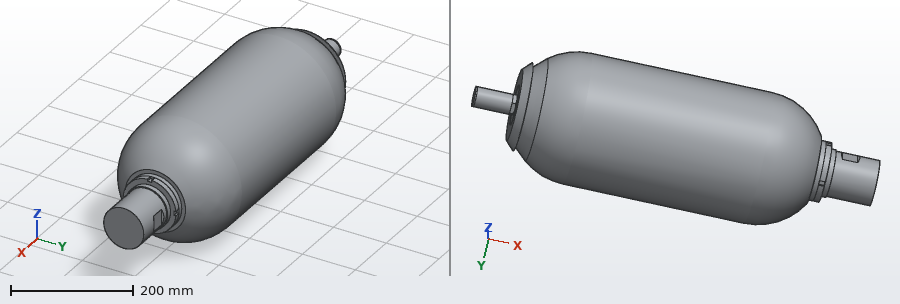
import cadquery as cq
import math

TOTAL_LENGTH = 672.75

END_DISC_BACK = 2.4
STEM_END = 62.0
CAP_FRONT = 68.0
CAP_BACK = 82.0
CONE_END = 94.0
TANK_FRONT = 104.5
CYLINDER_START = 173.0
CYLINDER_END = 477.0
WASHER_START = 570.5
NUT_START = 579.5
NUT_END = 589.5
COLLAR_END = 599.0

STEM_DIA = 33.7
STEM_BORE_DIA = 26.0
HEX_SIDES = 6
HEX_ACROSS_FLATS = 32.0
HEX_CHAMFER_ANGLE = 30.0

CAP_FRONT_RADIUS = 60.0
CAP_BACK_RADIUS = CAP_FRONT_RADIUS + (CAP_BACK - CAP_FRONT)
CAP_RECESS_DIA = 67.0
CAP_RECESS_DEPTH = 1.0

CONE_FRONT_RADIUS = 65.0

TANK_DIA = 219.1
TANK_RADIUS = TANK_DIA / 2

RING_DIA = 100.0
COLLAR_DIA = 80.0
PORT_DIA = 76.0
NUT_SLOT_COUNT = 4
NUT_SLOT_WIDTH = 8.0
NUT_SLOT_DEPTH = 4.0
PORT_ACROSS_FLATS = 70.0
FLAT_START = 611.0
FLAT_LENGTH = 25.0


def disc(start, end, diameter):
    """Cylinder about the X axis between two stations."""
    return cq.Workplane("YZ", origin=(start, 0, 0)).circle(diameter / 2).extrude(end - start)


def cone(start, end, start_radius, end_radius):
    """Truncated cone about the X axis between two stations."""
    profile = [(start, 0), (start, start_radius), (end, end_radius), (end, 0)]
    return cq.Workplane("XY").polyline(profile).close().revolve(360, (0, 0, 0), (1, 0, 0))


def make_end_disc():
    return disc(0, END_DISC_BACK, STEM_DIA)


def make_stem():
    """Tube open at both ends, between the end disc and the hexagon nut."""
    return disc(END_DISC_BACK, STEM_END, STEM_DIA).cut(disc(END_DISC_BACK, STEM_END, STEM_BORE_DIA))


def make_hex_nut():
    """Hexagon with corners on +-Y, its corners chamfered on the cap side."""
    back = CAP_FRONT + CAP_RECESS_DEPTH
    across_corners = HEX_ACROSS_FLATS / math.cos(math.pi / HEX_SIDES)
    nut_plane = cq.Workplane("YZ", origin=(STEM_END, 0, 0))
    nut = nut_plane.polygon(HEX_SIDES, across_corners).extrude(back - STEM_END)
    back_radius = HEX_ACROSS_FLATS / 2
    front_radius = back_radius + (back - STEM_END) / math.tan(math.radians(HEX_CHAMFER_ANGLE))
    return nut.intersect(cone(STEM_END, back, front_radius, back_radius))


def make_cap():
    cap = cone(CAP_FRONT, CAP_BACK, CAP_FRONT_RADIUS, CAP_BACK_RADIUS)
    return cap.cut(disc(CAP_FRONT, CAP_FRONT + CAP_RECESS_DEPTH, CAP_RECESS_DIA))


def sphere_point(centre_x, x):
    """Profile point of a tank end sphere centred on the axis at centre_x."""
    return (x, math.sqrt(TANK_RADIUS**2 - (x - centre_x) ** 2))


def make_cone_ring():
    """Cone that rises to the front sphere, then follows the sphere to the tank."""
    sphere_middle = sphere_point(CYLINDER_START, (CONE_END + TANK_FRONT) / 2)
    profile = (
        cq.Workplane("XY")
        .moveTo(CAP_BACK, 0)
        .lineTo(CAP_BACK, CONE_FRONT_RADIUS)
        .lineTo(*sphere_point(CYLINDER_START, CONE_END))
        .threePointArc(sphere_middle, sphere_point(CYLINDER_START, TANK_FRONT))
        .lineTo(TANK_FRONT, 0)
        .close()
    )
    return profile.revolve(360, (0, 0, 0), (1, 0, 0))


def make_tank():
    """Cylinder with spherical ends, both cut off flat."""
    front_middle = sphere_point(CYLINDER_START, (TANK_FRONT + CYLINDER_START) / 2)
    back_middle = sphere_point(CYLINDER_END, (CYLINDER_END + WASHER_START) / 2)
    profile = (
        cq.Workplane("XY")
        .moveTo(TANK_FRONT, 0)
        .lineTo(*sphere_point(CYLINDER_START, TANK_FRONT))
        .threePointArc(front_middle, (CYLINDER_START, TANK_RADIUS))
        .lineTo(CYLINDER_END, TANK_RADIUS)
        .threePointArc(back_middle, sphere_point(CYLINDER_END, WASHER_START))
        .lineTo(WASHER_START, 0)
        .close()
    )
    return profile.revolve(360, (0, 0, 0), (1, 0, 0))


def make_washer():
    return disc(WASHER_START, NUT_START, RING_DIA).cut(disc(WASHER_START, NUT_START, COLLAR_DIA))


def make_slotted_nut():
    """Ring nut with spanner slots cut along its whole width."""
    nut = disc(NUT_START, NUT_END, RING_DIA).cut(disc(NUT_START, NUT_END, COLLAR_DIA))
    nut_width = NUT_END - NUT_START
    slot = cq.Workplane("XY").box(nut_width, NUT_SLOT_WIDTH, 2 * NUT_SLOT_DEPTH)
    slot = slot.translate((NUT_START + nut_width / 2, 0, RING_DIA / 2))
    for index in range(NUT_SLOT_COUNT):
        nut = nut.cut(slot.rotate((0, 0, 0), (1, 0, 0), index * 360 / NUT_SLOT_COUNT))
    return nut


def make_port():
    """Port whose collar passes through the washer and the nut, with two sloped-end spanner flats."""
    port = disc(WASHER_START, COLLAR_END, COLLAR_DIA).union(disc(COLLAR_END, TOTAL_LENGTH, PORT_DIA))
    flat_end = FLAT_START + FLAT_LENGTH
    floor = PORT_ACROSS_FLATS / 2
    surface = PORT_DIA / 2
    slope_run = surface - floor
    for side in (-1, 1):
        outline = [
            (FLAT_START, side * floor),
            (flat_end, side * floor),
            (flat_end + slope_run, side * surface),
            (FLAT_START - slope_run, side * surface),
        ]
        port = port.cut(cq.Workplane("XY").polyline(outline).close().extrude(surface, both=True))
    return port


end_disc = make_end_disc()
stem = make_stem()
hex_nut = make_hex_nut()
cap = make_cap()
cone_ring = make_cone_ring()
tank = make_tank()
washer = make_washer()
slotted_nut = make_slotted_nut()
port = make_port()

result = cq.Compound.makeCompound(
    [
        end_disc.val(),
        stem.val(),
        hex_nut.val(),
        cap.val(),
        cone_ring.val(),
        tank.val(),
        washer.val(),
        slotted_nut.val(),
        port.val(),
    ]
)